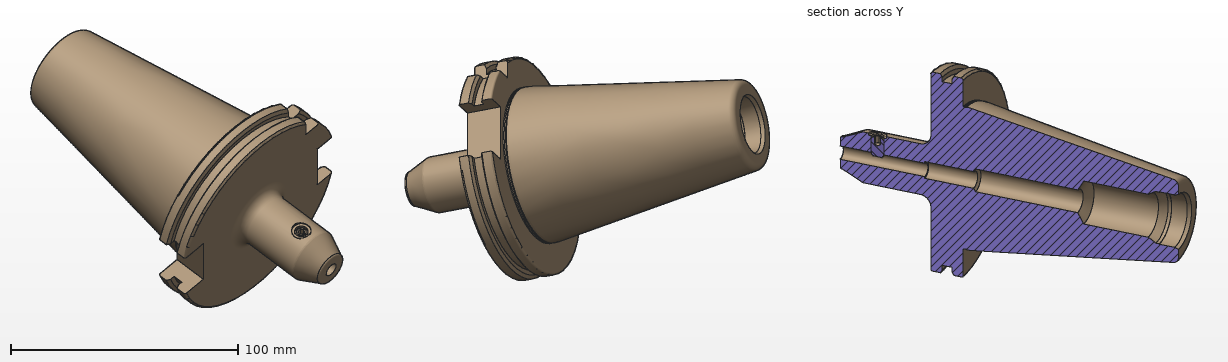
import cadquery as cq
import math

TOTAL_LENGTH = 164.8

TAPER_SLOPE = 7 / 48
GAUGE_X = 101.8
GAUGE_RADIUS = 35.0
TAPER_END_FILLET = 3.0
RELIEF_X = 103.1
RELIEF_DEPTH = 0.2
RELIEF_FLANK_LENGTH = 0.5

FLANGE_X = 104.8
FLANGE_END_X = 120.8
FLANGE_RADIUS = 48.8
FLANGE_EDGE_FILLET = 1.0
GROOVE_CENTER_X = 112.7
GROOVE_FLOOR_WIDTH = 4.6
GROOVE_FLOOR_RADIUS = 45.0
GROOVE_FLANK_DEPTH = 1.6
GROOVE_FLANK_ANGLE = 30.0

SLOT_WIDTH = 25.4
SLOT_FLOOR_PLUS_Y = 37.5
SLOT_FLOOR_MINUS_Y = 35.5
NOTCH_OFFSET = 30.0

NOSE_RADIUS = 12.5
NOSE_ROOT_FILLET = 5.0
NOSE_CONE_X = 153.7
NOSE_TIP_RADIUS = 7.9
NOSE_TIP_LAND = 1.0
NOSE_TIP_FILLET = 0.8
NOSE_BLEND_RADIUS = 1.6

MOUTH_RADIUS = 13.3
MOUTH_DEPTH = 1.8
PILOT_RADIUS = 12.7
PILOT_DEPTH = 9.4
STEP_RADIUS = 12.5
STEP_DEPTH = 11.0
THREAD_RADIUS = 10.4
THREAD_LEAD_ANGLE = 30.0
THREAD_END_X = 46.1
PASSAGE_RADIUS = 5.5
PASSAGE_END_X = 98.8
LINK_RADIUS = 4.0
LINK_END_X = 123.5
TOOL_BORE_RADIUS = 3.1
DRILL_POINT_HALF_ANGLE = 59.0

SCREW_X = 146.6
SCREW_RADIUS = 3.0
SCREW_TIP_Z = 1.6
SCREW_TOP_Z = 11.2
SCREW_CHAMFER = 0.8
SPOT_FACE_RADIUS = 4.3
SPOT_FACE_Z = 11.5
SOCKET_WIDTH = 2.6
SOCKET_DEPTH = 3.3


def revolve_about_x(profile):
    """Turn a closed profile, drawn as (x, radius), into a solid of revolution."""
    return profile.close().revolve(360, (0, 0, 0), (1, 0, 0))


def turned_taper():
    """Taper with a rounded small end and a relief groove next to the flange."""
    small_radius = GAUGE_RADIUS - TAPER_SLOPE * GAUGE_X
    relief_radius = GAUGE_RADIUS - RELIEF_DEPTH
    profile = (
        cq.Workplane("XZ")
        .lineTo(0, small_radius)
        .lineTo(GAUGE_X, GAUGE_RADIUS)
        .lineTo(RELIEF_X, GAUGE_RADIUS)
        .lineTo(RELIEF_X + RELIEF_FLANK_LENGTH, relief_radius)
        .lineTo(FLANGE_X - RELIEF_FLANK_LENGTH, relief_radius)
        .lineTo(FLANGE_X, GAUGE_RADIUS)
        .lineTo(FLANGE_X, 0)
    )
    return revolve_about_x(profile).faces("<X").edges().fillet(TAPER_END_FILLET)


def turned_flange():
    flange = (
        cq.Workplane("YZ", origin=(FLANGE_X, 0, 0))
        .circle(FLANGE_RADIUS)
        .extrude(FLANGE_END_X - FLANGE_X)
        .edges()
        .fillet(FLANGE_EDGE_FILLET)
    )
    return flange.cut(gripper_groove())


def gripper_groove():
    half_floor = GROOVE_FLOOR_WIDTH / 2
    half_mouth = half_floor + GROOVE_FLANK_DEPTH * math.tan(math.radians(GROOVE_FLANK_ANGLE))
    flank_radius = FLANGE_RADIUS - GROOVE_FLANK_DEPTH
    profile = (
        cq.Workplane("XZ")
        .moveTo(GROOVE_CENTER_X - half_floor, GROOVE_FLOOR_RADIUS)
        .lineTo(GROOVE_CENTER_X - half_floor, flank_radius)
        .lineTo(GROOVE_CENTER_X - half_mouth, FLANGE_RADIUS)
        .lineTo(GROOVE_CENTER_X + half_mouth, FLANGE_RADIUS)
        .lineTo(GROOVE_CENTER_X + half_floor, flank_radius)
        .lineTo(GROOVE_CENTER_X + half_floor, GROOVE_FLOOR_RADIUS)
    )
    return revolve_about_x(profile)


def flange_cutter(y_start, y_end, z_start, z_end):
    """A box through the full thickness of the flange."""
    size = (FLANGE_END_X - FLANGE_X, y_end - y_start, z_end - z_start)
    return cq.Workplane("XY").box(*size, centered=False).translate((FLANGE_X, y_start, z_start))


def flange_cutouts():
    half_slot = SLOT_WIDTH / 2
    plus_y_slot = flange_cutter(SLOT_FLOOR_PLUS_Y, FLANGE_RADIUS, -half_slot, half_slot)
    minus_y_slot = flange_cutter(-FLANGE_RADIUS, -SLOT_FLOOR_MINUS_Y, -half_slot, half_slot)
    notch = flange_cutter(NOTCH_OFFSET, FLANGE_RADIUS, NOTCH_OFFSET, FLANGE_RADIUS)
    return plus_y_slot.union(minus_y_slot).union(notch)


def turned_nose():
    """Nose with a concave root fillet, a conical front and a short cylindrical tip land."""
    fillet_center_x = FLANGE_END_X + NOSE_ROOT_FILLET
    fillet_center_radius = NOSE_RADIUS + NOSE_ROOT_FILLET
    fillet_chord = NOSE_ROOT_FILLET * math.sqrt(0.5)
    profile = (
        cq.Workplane("XY")
        .moveTo(FLANGE_X, 0)
        .lineTo(FLANGE_X, fillet_center_radius)
        .lineTo(FLANGE_END_X, fillet_center_radius)
        .threePointArc(
            (fillet_center_x - fillet_chord, fillet_center_radius - fillet_chord),
            (fillet_center_x, NOSE_RADIUS),
        )
        .lineTo(NOSE_CONE_X, NOSE_RADIUS)
        .lineTo(TOTAL_LENGTH - NOSE_TIP_LAND, NOSE_TIP_RADIUS)
        .lineTo(TOTAL_LENGTH, NOSE_TIP_RADIUS)
        .lineTo(TOTAL_LENGTH, 0)
    )
    nose = revolve_about_x(profile)
    nose = nose.faces(">X").edges().fillet(NOSE_TIP_FILLET)
    cone_start = cq.selectors.NearestToPointSelector((NOSE_CONE_X, 0, 0))
    return nose.edges(cone_start).fillet(NOSE_BLEND_RADIUS)


def axial_bore():
    """Stepped bore along the whole axis: draw-bar thread, passage and tool bore."""
    thread_lead = (STEP_RADIUS - THREAD_RADIUS) / math.tan(math.radians(THREAD_LEAD_ANGLE))
    drill_slope = math.tan(math.radians(DRILL_POINT_HALF_ANGLE))
    thread_point = (THREAD_RADIUS - PASSAGE_RADIUS) / drill_slope
    passage_point = (PASSAGE_RADIUS - LINK_RADIUS) / drill_slope
    profile = (
        cq.Workplane("XY")
        .lineTo(0, MOUTH_RADIUS)
        .lineTo(MOUTH_DEPTH, PILOT_RADIUS)
        .lineTo(PILOT_DEPTH, PILOT_RADIUS)
        .lineTo(PILOT_DEPTH, STEP_RADIUS)
        .lineTo(STEP_DEPTH, STEP_RADIUS)
        .lineTo(STEP_DEPTH + thread_lead, THREAD_RADIUS)
        .lineTo(THREAD_END_X, THREAD_RADIUS)
        .lineTo(THREAD_END_X + thread_point, PASSAGE_RADIUS)
        .lineTo(PASSAGE_END_X, PASSAGE_RADIUS)
        .lineTo(PASSAGE_END_X + passage_point, LINK_RADIUS)
        .lineTo(LINK_END_X, LINK_RADIUS)
        .lineTo(LINK_END_X, TOOL_BORE_RADIUS)
        .lineTo(TOTAL_LENGTH, TOOL_BORE_RADIUS)
        .lineTo(TOTAL_LENGTH, 0)
    )
    return revolve_about_x(profile)


def screw_hole():
    """Radial hole from the tool bore to the spot face on top of the nose."""
    hole = cq.Workplane("XY", origin=(SCREW_X, 0, 0)).circle(SCREW_RADIUS).extrude(NOSE_RADIUS)
    spot_face = (
        cq.Workplane("XY", origin=(SCREW_X, 0, SPOT_FACE_Z))
        .circle(SPOT_FACE_RADIUS)
        .extrude(NOSE_RADIUS - SPOT_FACE_Z)
    )
    return hole.union(spot_face)


def make_holder():
    body = turned_taper().union(turned_flange().cut(flange_cutouts())).union(turned_nose())
    return body.cut(axial_bore()).cut(screw_hole())


def make_clamp_screw():
    """Set screw with chamfered ends and a hexagon socket that ends in a drill point."""
    screw = (
        cq.Workplane("XY", origin=(SCREW_X, 0, SCREW_TIP_Z))
        .circle(SCREW_RADIUS)
        .extrude(SCREW_TOP_Z - SCREW_TIP_Z)
        .edges()
        .chamfer(SCREW_CHAMFER)
    )
    socket_floor_z = SCREW_TOP_Z - SOCKET_DEPTH
    socket = (
        cq.Workplane("XY", origin=(SCREW_X, 0, socket_floor_z))
        .polygon(6, SOCKET_WIDTH, circumscribed=True)
        .extrude(SOCKET_DEPTH)
    )
    point_radius = SOCKET_WIDTH / 2
    point_depth = point_radius / math.tan(math.radians(DRILL_POINT_HALF_ANGLE))
    socket_floor_center = cq.Vector(SCREW_X, 0, socket_floor_z)
    downward = cq.Vector(0, 0, -1)
    drill_point = cq.Solid.makeCone(point_radius, 0, point_depth, pnt=socket_floor_center, dir=downward)
    return screw.cut(socket).cut(cq.Workplane(drill_point))


holder = make_holder()
clamp_screw = make_clamp_screw()
result = cq.Compound.makeCompound([holder.val(), clamp_screw.val()])